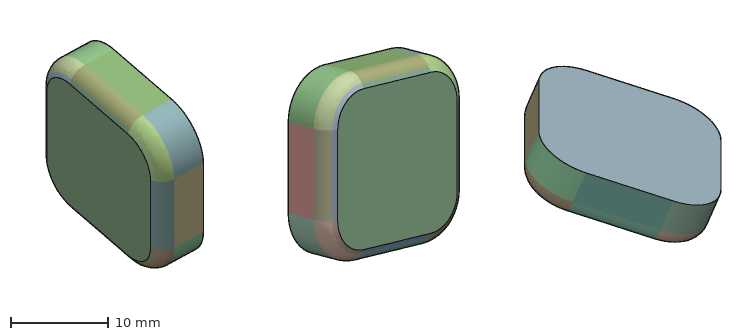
import cadquery as cq
import math

side = 20.0
thickness = 5.8
corner_radius = 5.2

rim_radius = 2.0
bevel_angle = math.radians(30)
rim_depth = 2.0

bevel_depth = rim_depth - rim_radius * math.tan((math.pi / 2 - bevel_angle) / 2)
bevel_inset = bevel_depth / math.tan(bevel_angle)


def rounded_block():
    block = cq.Workplane("XY").box(side, thickness, side)
    return block.edges("|Y").fillet(corner_radius)


def bevel_front(body):
    return body.faces("<Y").edges().chamfer(bevel_inset, bevel_depth)


def round_rim(body):
    outline_y = bevel_depth - thickness / 2
    reach = 0.02
    outline = cq.selectors.BoxSelector(
        (-side, outline_y - reach, -side),
        (side, outline_y + reach, side),
    )
    return body.edges(outline).fillet(rim_radius)


result = round_rim(bevel_front(rounded_block()))